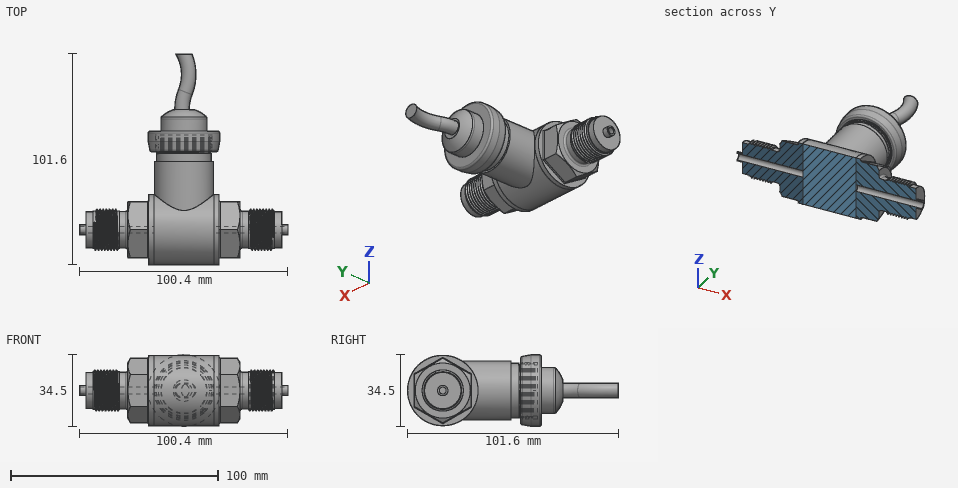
import cadquery as cq
import math

RUN_DIAMETER = 34.0
RUN_LENGTH = 29.0
BRANCH_DIAMETER = 28.5
BRANCH_SHOULDER = 32.9
NECK_DIAMETER = 26.5
NECK_END = 36.6
SPIGOT_DIAMETER = 24.6
SPIGOT_LENGTH = 9.0
SPIGOT_END = NECK_END + SPIGOT_LENGTH
CAP_THREAD_CREST_DIAMETER = 26.5

THREAD_PITCH = 1.5
THREAD_ROOT_HALF_WIDTH = 0.42 * THREAD_PITCH
THREAD_CREST_HALF_WIDTH = THREAD_PITCH / 16
THREAD_OVERLAP = 0.1

FLANGE_END = 17.0
HEX_ACROSS_FLATS = 27.0
HEX_END = 27.1
HEX_FOOT_LENGTH = 0.6
HEX_FOOT_SPREAD = 0.35
HEX_CHAMFER_DIAMETER = 26.5
HEX_CHAMFER_ANGLE = 30.0
UNDERCUT_DIAMETER = 17.8
UNDERCUT_FILLET = 1.0
THREAD_START = 31.1
THREAD_END = 43.7
THREAD_ROOT_DIAMETER = 18.14
THREAD_CREST_DIAMETER = 19.85
NOSE_DIAMETER = 17.5
NOSE_END = 47.2
PIN_DIAMETER = 5.0
PIN_END = 50.2
BORE_DIAMETER = 3.3

CAP_DIAMETER = 34.5
CAP_BASE = 37.5
CAP_HEIGHT = 10.0
CAP_TAPER_HEIGHT = 5.0
CAP_TAPER_ANGLE = 10.0
CAP_TOP_FILLET = 1.0
CAP_BASE_FILLET = 1.0
SOCKET_DIAMETER = 27.21
SOCKET_MOUTH_DIAMETER = 28.8
GLAND_DIAMETER = 22.3
GLAND_END = 53.4
GLAND_BEVEL_HEIGHT = 0.95
GLAND_BEVEL = 0.25
DOME_END = 57.8
DOME_RADIUS = 15.9

CABLE_DIAMETER = 7.1
CABLE_OFFSET = -0.95
CABLE_BEND_RADIUS = 22.9
CABLE_BEND_ANGLE = 21.7
CABLE_OVERRUN_ANGLE = 45.0
CABLE_END = 84.58
CABLE_WASTE_SIZE = 40.0


def rod_along_x(diameter, start, end):
    return cq.Workplane("YZ").workplane(offset=start).circle(diameter / 2).extrude(end - start)


def revolve_about_x(profile):
    return profile.close().revolve(360, (0, 0, 0), (1, 0, 0))


def revolve_about_y(profile):
    return profile.close().revolve(360, (0, 0, 0), (0, 1, 0))


def make_thread_ridge(root_diameter, crest_diameter, length):
    """Right-handed helical ridge around Z whose middle climbs from Z = 0 to the given length."""
    crest_radius = crest_diameter / 2
    sunk_radius = root_diameter / 2 - THREAD_OVERLAP
    helix = cq.Wire.makeHelix(THREAD_PITCH, length, root_diameter / 2)
    return (
        cq.Workplane("XZ")
        .moveTo(sunk_radius, -THREAD_ROOT_HALF_WIDTH)
        .lineTo(crest_radius, -THREAD_CREST_HALF_WIDTH)
        .lineTo(crest_radius, THREAD_CREST_HALF_WIDTH)
        .lineTo(sunk_radius, THREAD_ROOT_HALF_WIDTH)
        .close()
        .sweep(cq.Workplane(obj=helix), isFrenet=True)
    )


def make_housing():
    """Run and branch of the tee, with the threaded spigot that carries the cap."""
    run = rod_along_x(RUN_DIAMETER, -RUN_LENGTH / 2, RUN_LENGTH / 2)
    branch = revolve_about_y(
        cq.Workplane("XY")
        .lineTo(BRANCH_DIAMETER / 2, 0)
        .lineTo(BRANCH_DIAMETER / 2, BRANCH_SHOULDER)
        .lineTo(NECK_DIAMETER / 2, BRANCH_SHOULDER)
        .lineTo(NECK_DIAMETER / 2, NECK_END)
        .lineTo(SPIGOT_DIAMETER / 2, NECK_END)
        .lineTo(SPIGOT_DIAMETER / 2, SPIGOT_END)
        .lineTo(0, SPIGOT_END)
    )
    thread = make_thread_ridge(SPIGOT_DIAMETER, CAP_THREAD_CREST_DIAMETER, SPIGOT_LENGTH - THREAD_PITCH)
    thread = thread.rotate((0, 0, 0), (1, 0, 0), -90).translate((0, NECK_END, 0))
    return run.union(branch).union(thread)


def make_hexagon():
    """Hexagon with corners up and down, flared at the flange and chamfered at its outer end."""
    corner_factor = 1 / math.cos(math.radians(30))
    corner_diameter = HEX_ACROSS_FLATS * corner_factor
    foot_diameter = (HEX_ACROSS_FLATS + 2 * HEX_FOOT_SPREAD) * corner_factor
    length = HEX_END - FLANGE_END

    section = cq.Workplane("YZ").workplane(offset=FLANGE_END).transformed(rotate=(0, 0, 90))
    prism = section.polygon(6, corner_diameter).extrude(length)
    foot = (
        section.polygon(6, foot_diameter)
        .workplane(offset=HEX_FOOT_LENGTH)
        .polygon(6, corner_diameter)
        .loft(ruled=True)
    )

    chamfer_radius = HEX_CHAMFER_DIAMETER / 2
    cone_radius = RUN_DIAMETER / 2
    cone_height = (cone_radius - chamfer_radius) * math.tan(math.radians(HEX_CHAMFER_ANGLE))
    corner_envelope = revolve_about_x(
        cq.Workplane("XY")
        .moveTo(FLANGE_END, 0)
        .lineTo(FLANGE_END, cone_radius)
        .lineTo(HEX_END - cone_height, cone_radius)
        .lineTo(HEX_END, chamfer_radius)
        .lineTo(HEX_END, 0)
    )
    return prism.union(foot).intersect(corner_envelope)


def make_stem():
    """Turned stem from the hexagon to the pin: undercut with root fillet, thread core, nose, pin."""
    undercut_radius = UNDERCUT_DIAMETER / 2
    fillet_end = HEX_END + UNDERCUT_FILLET
    arc_offset = UNDERCUT_FILLET * (1 - math.sqrt(0.5))
    return revolve_about_x(
        cq.Workplane("XY")
        .moveTo(HEX_END, 0)
        .lineTo(HEX_END, undercut_radius + UNDERCUT_FILLET)
        .threePointArc((HEX_END + arc_offset, undercut_radius + arc_offset), (fillet_end, undercut_radius))
        .lineTo(THREAD_START, undercut_radius)
        .lineTo(THREAD_START, THREAD_ROOT_DIAMETER / 2)
        .lineTo(THREAD_END, THREAD_ROOT_DIAMETER / 2)
        .lineTo(THREAD_END, NOSE_DIAMETER / 2)
        .lineTo(NOSE_END, NOSE_DIAMETER / 2)
        .lineTo(NOSE_END, PIN_DIAMETER / 2)
        .lineTo(PIN_END, PIN_DIAMETER / 2)
        .lineTo(PIN_END, 0)
    )


def make_fitting():
    """Fitting on the +X side of the housing."""
    flange = rod_along_x(RUN_DIAMETER, RUN_LENGTH / 2, FLANGE_END)
    ridge_start = THREAD_START + THREAD_ROOT_HALF_WIDTH
    ridge_end = THREAD_END - THREAD_ROOT_HALF_WIDTH
    thread = make_thread_ridge(THREAD_ROOT_DIAMETER, THREAD_CREST_DIAMETER, ridge_end - ridge_start)
    thread = thread.rotate((0, 0, 0), (0, 1, 0), 90).translate((ridge_start, 0, 0))
    body = flange.union(make_hexagon()).union(make_stem()).union(thread)
    return body.cut(rod_along_x(BORE_DIAMETER, RUN_LENGTH / 2, PIN_END))


def make_cap():
    """Tapered nut with a domed cable gland on top and a socket for the spigot below."""
    cap_radius = CAP_DIAMETER / 2
    taper_top = CAP_BASE + CAP_TAPER_HEIGHT
    cap_top = CAP_BASE + CAP_HEIGHT
    base_radius = cap_radius - CAP_TAPER_HEIGHT * math.tan(math.radians(CAP_TAPER_ANGLE))
    nut = revolve_about_y(
        cq.Workplane("XY")
        .moveTo(0, CAP_BASE)
        .lineTo(base_radius, CAP_BASE)
        .lineTo(cap_radius, taper_top)
        .lineTo(cap_radius, cap_top)
        .lineTo(0, cap_top)
    )
    nut = nut.faces(">Y").edges().fillet(CAP_TOP_FILLET)
    nut = nut.faces("<Y").edges().fillet(CAP_BASE_FILLET)

    gland_radius = GLAND_DIAMETER / 2
    dome_start = GLAND_END + GLAND_BEVEL_HEIGHT
    dome_foot = gland_radius - GLAND_BEVEL
    dome_centre = dome_start - math.sqrt(DOME_RADIUS**2 - dome_foot**2)

    def dome_radius_at(y):
        return math.sqrt(DOME_RADIUS**2 - (y - dome_centre) ** 2)

    dome_middle = (dome_start + DOME_END) / 2
    gland = revolve_about_y(
        cq.Workplane("XY")
        .moveTo(0, cap_top)
        .lineTo(gland_radius, cap_top)
        .lineTo(gland_radius, GLAND_END)
        .lineTo(dome_foot, dome_start)
        .threePointArc((dome_radius_at(dome_middle), dome_middle), (dome_radius_at(DOME_END), DOME_END))
        .lineTo(0, DOME_END)
    )

    socket_radius = SOCKET_DIAMETER / 2
    mouth_radius = SOCKET_MOUTH_DIAMETER / 2
    socket = revolve_about_y(
        cq.Workplane("XY")
        .moveTo(0, CAP_BASE)
        .lineTo(mouth_radius, CAP_BASE)
        .lineTo(socket_radius, CAP_BASE + mouth_radius - socket_radius)
        .lineTo(socket_radius, SPIGOT_END)
        .lineTo(0, SPIGOT_END)
    )
    return nut.union(gland).cut(socket)


def make_cable():
    """Round cable bent in an S and cut off square to Y."""
    right_centre_x = CABLE_OFFSET + CABLE_BEND_RADIUS
    left_centre_x = right_centre_x - 2 * CABLE_BEND_RADIUS * math.cos(math.radians(CABLE_BEND_ANGLE))
    left_centre_y = DOME_END + 2 * CABLE_BEND_RADIUS * math.sin(math.radians(CABLE_BEND_ANGLE))

    def on_right_circle(angle):
        a = math.radians(angle)
        return (
            right_centre_x - CABLE_BEND_RADIUS * math.cos(a),
            DOME_END + CABLE_BEND_RADIUS * math.sin(a),
        )

    def on_left_circle(angle):
        a = math.radians(angle)
        return (
            left_centre_x + CABLE_BEND_RADIUS * math.cos(a),
            left_centre_y + CABLE_BEND_RADIUS * math.sin(a),
        )

    path = (
        cq.Workplane("XY")
        .moveTo(CABLE_OFFSET, DOME_END)
        .threePointArc(on_right_circle(CABLE_BEND_ANGLE / 2), on_right_circle(CABLE_BEND_ANGLE))
        .threePointArc(on_left_circle(0), on_left_circle(CABLE_OVERRUN_ANGLE))
    )
    swept = (
        cq.Workplane("XZ", origin=(CABLE_OFFSET, DOME_END, 0))
        .circle(CABLE_DIAMETER / 2)
        .sweep(path)
    )
    waste = cq.Workplane("XY").box(CABLE_WASTE_SIZE, CABLE_WASTE_SIZE, CABLE_WASTE_SIZE)
    return swept.cut(waste.translate((0, CABLE_END + CABLE_WASTE_SIZE / 2, 0)))


housing = make_housing()
fitting = make_fitting()
fittings = [fitting.rotate((0, 0, 0), (0, 0, 1), turn) for turn in (0, 180)]
cap = make_cap()
cable = make_cable()

bodies = [housing, *fittings, cap, cable]
result = cq.Compound.makeCompound([body.solids().val() for body in bodies])